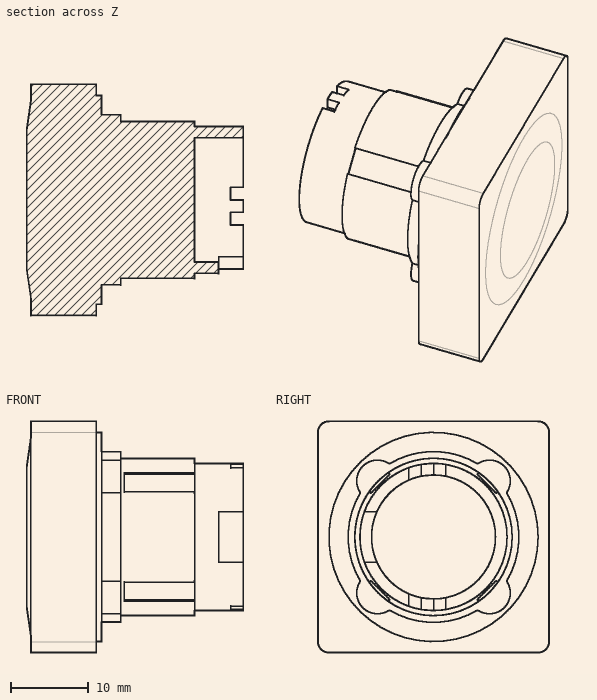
import cadquery as cq
import math

total_length = 27.9
head_front = 0.55
head_back = 8.97
flange_back = 9.65
collar_back = 12.13
recess_start = 12.58
barrel_back = 21.63

head_side = 29.8
head_corner_radius = 1.43
button_base_radius = 12.8
button_face_radius = 9.12

flange_radius = 13.47
collar_radius = 11.0
barrel_radius = 10.13
sleeve_radius = 9.48
sleeve_bore_radius = 8.0

lobe_radius = 2.68
lobe_offset = 7.2
recess_width = 3.45
recess_floor = 9.68
diagonal_angles = [45, 135, 225, 315]

small_notch_width = 1.6
small_notch_depth = 1.65
small_notch_centers = [small_notch_width / 2, -1.5 * small_notch_width]
side_notch_width = 6.47
side_notch_depth = 3.2


def disc(radius, start, end):
    """Cylinder about the X axis between two X positions."""
    return cq.Workplane("YZ").workplane(offset=start).circle(radius).extrude(end - start)


def block(start, end, y_range, z_range):
    """Box given by its limits along each axis."""
    size = (end - start, y_range[1] - y_range[0], z_range[1] - z_range[0])
    return cq.Workplane("XY").box(*size, centered=False).translate((start, y_range[0], z_range[0]))


def make_head():
    """Square head with rounded corners and a shallow conical button."""
    head = (
        cq.Workplane("YZ").workplane(offset=head_front)
        .rect(head_side, head_side)
        .extrude(head_back - head_front)
        .edges("|X").fillet(head_corner_radius)
    )
    button = (
        cq.Workplane("XY")
        .moveTo(0, 0)
        .lineTo(0, button_face_radius)
        .lineTo(head_front, button_base_radius)
        .lineTo(head_front, 0)
        .close()
        .revolve(360, (0, 0, 0), (1, 0, 0))
    )
    return head.union(button)


def make_collar():
    """Round collar with a rounded lobe on each diagonal."""
    collar = disc(collar_radius, flange_back, collar_back)
    lobe_distance = lobe_offset * math.sqrt(2)
    for angle in diagonal_angles:
        lobe = disc(lobe_radius, flange_back, collar_back).translate((0, lobe_distance, 0))
        collar = collar.union(lobe.rotate((0, 0, 0), (1, 0, 0), angle))
    return collar


def make_barrel():
    """Barrel with a flat-bottomed recess on each diagonal."""
    barrel = disc(barrel_radius, collar_back, barrel_back)
    half_width = recess_width / 2
    for angle in diagonal_angles:
        recess = block(
            recess_start, barrel_back, (recess_floor, barrel_radius), (-half_width, half_width)
        )
        barrel = barrel.cut(recess.rotate((0, 0, 0), (1, 0, 0), angle))
    return barrel


def make_sleeve():
    """Hollow end sleeve, notched through top and bottom and on the -Y side."""
    sleeve = disc(sleeve_radius, barrel_back, total_length)
    sleeve = sleeve.cut(disc(sleeve_bore_radius, barrel_back, total_length))
    for center in small_notch_centers:
        y_range = (center - small_notch_width / 2, center + small_notch_width / 2)
        notch = block(
            total_length - small_notch_depth, total_length, y_range, (-sleeve_radius, sleeve_radius)
        )
        sleeve = sleeve.cut(notch)
    side_notch = block(
        total_length - side_notch_depth,
        total_length,
        (-sleeve_radius, 0),
        (-side_notch_width / 2, side_notch_width / 2),
    )
    return sleeve.cut(side_notch)


flange = disc(flange_radius, head_back, flange_back)
result = make_head().union(flange).union(make_collar()).union(make_barrel()).union(make_sleeve())